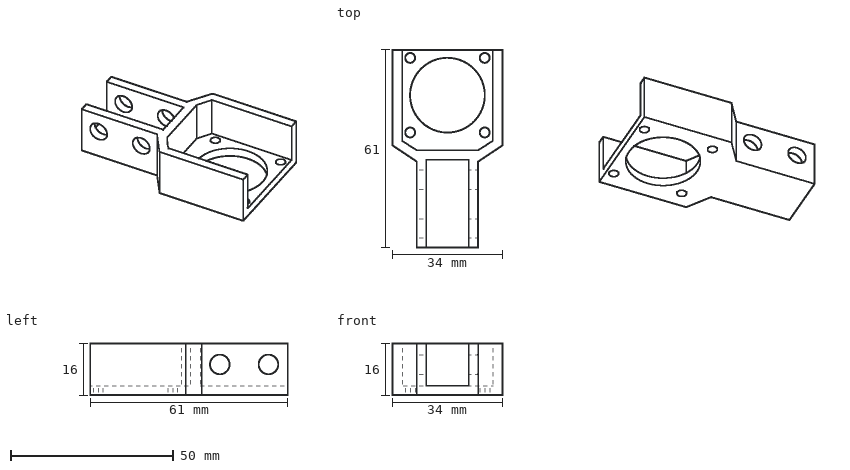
import cadquery as cq

length = 61.0
head_width = 34.0
height = 16.0
wall = 3.0
floor = wall

arm_width = 19.0
arm_length = 26.55
head_start = 31.55
channel_width = arm_width - 2 * wall
channel_length = 27.1

pocket_width = head_width - 2 * wall
pocket_start = channel_length + wall
pocket_taper_end = 32.95

bore_diameter = 23.0
bore_y = 47.05
screw_diameter = 3.0
screw_spacing = bore_diameter
pin_diameter = 6.0
pin_positions = (6.0, 21.0)
pin_z = floor + (height - floor) / 2


def tapered_outline(z, narrow_width, wide_width, start, taper_start, taper_end):
    """Symmetric outline that widens between two Y positions, up to the head end."""
    narrow = narrow_width / 2
    wide = wide_width / 2
    right_side = [(narrow, start), (narrow, taper_start), (wide, taper_end), (wide, length)]
    if start == taper_start:
        right_side.pop(0)
    left_side = [(-x, y) for x, y in reversed(right_side)]
    return cq.Workplane("XY", origin=(0, 0, z)).polyline(right_side + left_side).close()


def make_body():
    return tapered_outline(0, arm_width, head_width, 0, arm_length, head_start).extrude(height)


def make_head_pocket():
    outline = tapered_outline(
        floor, arm_width, pocket_width, pocket_start, pocket_start, pocket_taper_end
    )
    return outline.extrude(height - floor)


def make_arm_channel():
    return cq.Workplane("XY", origin=(0, 0, floor)).box(
        channel_width, channel_length, height - floor, centered=(True, False, False)
    )


def make_floor_holes():
    """Large bore with a screw hole at each corner of a square around it."""
    plane = cq.Workplane("XY", origin=(0, bore_y, 0))
    bore = plane.circle(bore_diameter / 2).extrude(height)
    screws = plane.rect(screw_spacing, screw_spacing, forConstruction=True).vertices()
    return bore.union(screws.circle(screw_diameter / 2).extrude(height))


def make_pin_holes():
    """Cross holes through both arm walls."""
    points = [(y, pin_z) for y in pin_positions]
    return cq.Workplane("YZ").pushPoints(points).circle(pin_diameter / 2).extrude(arm_width / 2, both=True)


result = (
    make_body()
    .cut(make_head_pocket())
    .cut(make_arm_channel())
    .cut(make_floor_holes())
    .cut(make_pin_holes())
)